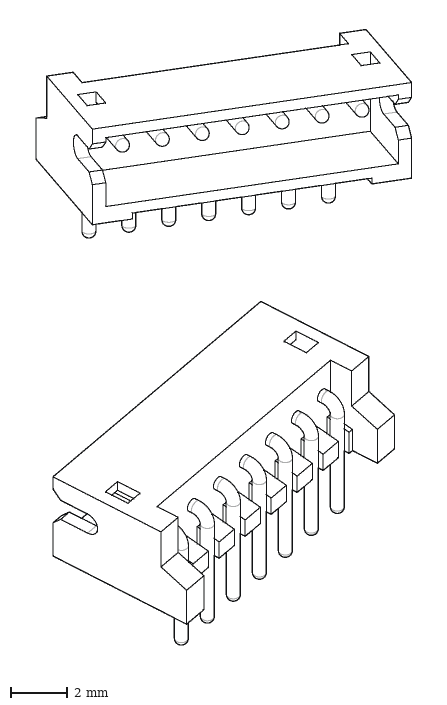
import cadquery as cq
import math


length = 12.0
depth = 6.0
height = 3.72
side_wall = 0.5
rear_face_x = 2.1
floor_thickness = 0.41
roof_thickness = 0.41

ear_width = 1.0
ear_upper_x = 1.15
ear_outer_z = 1.6
ear_inner_z = 2.08

slot_back_x = 4.0
slot_bottom_z = 1.91
slot_top_z = 2.8
slot_mouth_chamfer = 0.35

window_x = 3.02
window_depth = 1.01
window_width = 0.7

pin_count = 7
pin_pitch = 1.5
pin_diameter = 0.5
pin_axis_x = 1.4
pin_axis_z = 2.42
pin_bend_radius = 0.52
pin_tip_x = 5.2
pin_tip_z = -2.68
pin_radius = pin_diameter / 2
first_pin_y = (length - pin_pitch * (pin_count - 1)) / 2
pin_positions = [first_pin_y + pin_pitch * i for i in range(pin_count)]

comb_front_x = 1.12
comb_gap = 0.62
comb_front_z = 1.0
comb_rear_z = 1.19

relief_height = 0.23


def box(x_range, y_range, z_range):
    """Box spanning the given (start, end) ranges."""
    (x0, x1), (y0, y1), (z0, z1) = x_range, y_range, z_range
    return cq.Workplane("XY").box(x1 - x0, y1 - y0, z1 - z0, centered=False).translate((x0, y0, z0))


def profile_at(y):
    """XZ workplane at the given y; a negative extrusion from it runs towards +Y."""
    return cq.Workplane("XZ", origin=(0, y, 0))


def housing_block():
    """Full-length block with an ear at each end of the rear side."""
    ear_profile = [
        (0, 0),
        (depth, 0),
        (depth, height),
        (ear_upper_x, height),
        (ear_upper_x, ear_inner_z),
        (0, ear_outer_z),
    ]
    block = profile_at(0).polyline(ear_profile).close().extrude(-length)
    rear_space = box((0, rear_face_x), (ear_width, length - ear_width), (0, height))
    return block.cut(rear_space)


def comb():
    """Row of sloped-top blocks behind the rear face, with a gap around each pin."""
    comb_profile = [
        (comb_front_x, 0),
        (rear_face_x, 0),
        (rear_face_x, comb_rear_z),
        (comb_front_x, comb_front_z),
    ]
    row = profile_at(ear_width).polyline(comb_profile).close().extrude(-(length - 2 * ear_width))
    for y in pin_positions:
        row = row.cut(box((0, rear_face_x), (y - comb_gap / 2, y + comb_gap / 2), (0, height)))
    return row


def cavity():
    """Mating cavity, open towards +X."""
    return box(
        (window_x, depth),
        (side_wall, length - side_wall),
        (relief_height + floor_thickness, height - roof_thickness),
    )


def side_slots():
    """Slot with a round inner end and a flared mouth, running along the full length."""
    mouth_x = depth - slot_mouth_chamfer
    end_radius = (slot_top_z - slot_bottom_z) / 2
    end_centre_x = slot_back_x + end_radius
    channel = box((end_centre_x, depth), (0, length), (slot_bottom_z, slot_top_z))
    round_end = profile_at(0).center(end_centre_x, slot_bottom_z + end_radius)
    round_end = round_end.circle(end_radius).extrude(-length)
    mouth_profile = [
        (mouth_x, slot_bottom_z),
        (depth, slot_bottom_z - slot_mouth_chamfer),
        (depth, slot_top_z + slot_mouth_chamfer),
        (mouth_x, slot_top_z),
    ]
    mouth = profile_at(0).polyline(mouth_profile).close().extrude(-length)
    return channel.union(round_end).union(mouth)


def roof_window(y):
    """Rectangular opening through the roof, starting at y."""
    return box(
        (window_x, window_x + window_depth),
        (y, y + window_width),
        (height - roof_thickness, height),
    )


def pin(y):
    """Round pin bent through a right angle, with hemispherical tips."""
    bend_start = (pin_axis_x, pin_axis_z - pin_bend_radius)
    bend_end = (pin_axis_x + pin_bend_radius, pin_axis_z)
    bend_offset = pin_bend_radius * math.sqrt(0.5)
    bend_middle = (bend_end[0] - bend_offset, bend_start[1] + bend_offset)
    lower_end = (pin_axis_x, pin_tip_z + pin_radius)
    front_end = (pin_tip_x - pin_radius, pin_axis_z)

    path = profile_at(y).moveTo(*lower_end).lineTo(*bend_start)
    path = path.threePointArc(bend_middle, bend_end).lineTo(*front_end)
    body = cq.Workplane("XY", origin=(lower_end[0], y, lower_end[1])).circle(pin_radius).sweep(path)
    for x, z in (lower_end, front_end):
        body = body.union(cq.Workplane("XY").sphere(pin_radius).translate((x, y, z)))
    return body


relief = box((0, depth), (pin_positions[0], pin_positions[-1]), (0, relief_height))

result = housing_block().union(comb()).cut(relief).cut(cavity()).cut(side_slots())
for window_y in (side_wall, length - side_wall - window_width):
    result = result.cut(roof_window(window_y))
for pin_y in pin_positions:
    result = result.union(pin(pin_y))